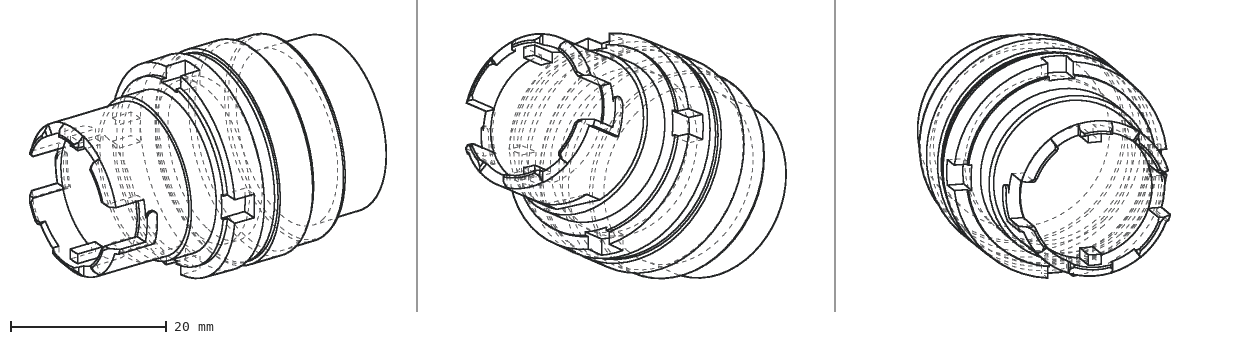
import cadquery as cq
import math

TOOTH_DEPTH = 1.2
FLOOR_Y = 5.05
BARREL_END_Y = 12.03
COLLAR_END_Y = 15.85
FLANGE_FRONT_Y = 16.5
FLANGE_BACK_Y = 20.95
BAND_FRONT_Y = 22.87
BAND_STEP_Y = 23.4
BAND_BACK_Y = 28.4
RING_FRONT_Y = 28.95
RING_BACK_Y = 33.95
LENGTH = 41.9

BORE_R = 8.83
TIP_R = 9.15
BARREL_FRONT_R = 10.27
BARREL_BACK_R = 10.31
COLLAR_R = 21.85 / 2
SHOULDER_R = 12.65
FLANGE_R = 28.8 / 2
FLANGE_FRONT_R = 14.32
BAND_R = 28.8 / 2
BAND_LIP_R = 27.8 / 2
RING_R = 27.6 / 2
RING_CHAMFER_LENGTH = 0.4
RING_CHAMFER_DEPTH = 0.2
CAP_BASE_R = 11.8
CAP_END_R = 11.73
CAP_FILLET = 0.8

SLOT_COUNT = 4
SLOT_WIDTH = 3.37
SLOT_END_Y = 19.45
SLOT_FLOOR_R = 12.2

NOTCH_HALF_HEIGHT = 2.97
NOTCH_END_Y = 5.4
TOOTH_CHAMFER = 0.45
TOP_TOOTH_HALF_WIDTH = 2.2
BOTTOM_TOOTH_LEFT_X = -3.54
UPPER_GAP_ANGLE = 54.5
LOWER_LEFT_GAP_ANGLE = 221.0
LOWER_RIGHT_GAP_ANGLE = 306.5
GAP_INNER_R = 5.0
GAP_OUTER_R = 16.0

PAD_R = 10.63
PAD_ARM_WIDTH = 1.6
PAD_ARM_ROUND_Z = 0.5
PAD_BOTTOM_Z = -3.75

KEY_WIDTH = 1.74
KEY_TIP_R = 7.46

RECESS_FRONT_Y = 9.2
RECESS_Z = -9.73

CLEARANCE = 1.0


def tube(outer_r, inner_r, start_y, end_y):
    """Ring about the Y axis between two stations."""
    return (
        cq.Workplane("XZ", origin=(0, start_y, 0))
        .circle(outer_r)
        .circle(inner_r)
        .extrude(start_y - end_y)
    )


def box(x_range, y_range, z_range):
    """Axis-aligned block given by its limits."""
    limits = (x_range, y_range, z_range)
    sizes = [high - low for low, high in limits]
    corner = cq.Vector(*[low for low, high in limits])
    return cq.Workplane(cq.Solid.makeBox(*sizes, pnt=corner))


def turned_body():
    """Stepped body of revolution, with the blind bore open at the front."""
    body = (
        cq.Workplane("XY")
        .moveTo(0, FLOOR_Y)
        .lineTo(BORE_R, FLOOR_Y)
        .lineTo(BORE_R, 0)
        .lineTo(BARREL_FRONT_R, 0)
        .lineTo(BARREL_BACK_R, BARREL_END_Y)
        .lineTo(COLLAR_R, BARREL_END_Y)
        .lineTo(COLLAR_R, COLLAR_END_Y)
        .lineTo(SHOULDER_R, COLLAR_END_Y)
        .lineTo(SHOULDER_R, FLANGE_FRONT_Y)
        .lineTo(FLANGE_FRONT_R, FLANGE_FRONT_Y)
        .lineTo(FLANGE_R, FLANGE_BACK_Y)
        .lineTo(COLLAR_R, FLANGE_BACK_Y)
        .lineTo(COLLAR_R, BAND_FRONT_Y)
        .lineTo(BAND_LIP_R, BAND_FRONT_Y)
        .lineTo(BAND_LIP_R, BAND_STEP_Y)
        .lineTo(BAND_R, BAND_STEP_Y)
        .lineTo(BAND_R, BAND_BACK_Y)
        .lineTo(RING_R, RING_FRONT_Y)
        .lineTo(RING_R, RING_BACK_Y - RING_CHAMFER_LENGTH)
        .lineTo(RING_R - RING_CHAMFER_DEPTH, RING_BACK_Y)
        .lineTo(CAP_BASE_R, RING_BACK_Y)
        .lineTo(CAP_END_R, LENGTH)
        .lineTo(0, LENGTH)
        .close()
        .revolve(360, (0, 0, 0), (0, 1, 0))
    )
    return body.faces(">Y").edges().fillet(CAP_FILLET)


def bayonet_pads():
    """L-shaped raised pads, mirrored left and right, with a full-round upper end."""
    arm_back_y = NOTCH_END_Y + PAD_ARM_WIDTH
    outline = (
        cq.Workplane("YZ")
        .moveTo(0, PAD_BOTTOM_Z)
        .lineTo(arm_back_y, PAD_BOTTOM_Z)
        .lineTo(arm_back_y, PAD_ARM_ROUND_Z)
        .threePointArc(
            (NOTCH_END_Y + PAD_ARM_WIDTH / 2, PAD_ARM_ROUND_Z + PAD_ARM_WIDTH / 2),
            (NOTCH_END_Y, PAD_ARM_ROUND_Z),
        )
        .lineTo(NOTCH_END_Y, -NOTCH_HALF_HEIGHT)
        .lineTo(0, -NOTCH_HALF_HEIGHT)
        .close()
        .extrude(PAD_R, both=True)
    )
    wall_middle_r = (BORE_R + BARREL_FRONT_R) / 2
    return outline.intersect(tube(PAD_R, wall_middle_r, 0, arm_back_y))


def crown_bevel():
    """Cutter that leaves a 45 degree cone around the front of the crown."""
    bevel_length = PAD_R + CLEARANCE - TIP_R
    return (
        cq.Workplane("XY")
        .moveTo(TIP_R, 0)
        .lineTo(TIP_R + bevel_length, bevel_length)
        .lineTo(TIP_R + bevel_length, 0)
        .close()
        .revolve(360, (0, 0, 0), (0, 1, 0))
    )


def chamfered_opening(points, end_y):
    """Cutter from the crown tip to end_y, flared at the tip to chamfer the tooth corners."""
    straight = cq.Workplane("XZ").polyline(points).close().extrude(-end_y)
    flare = (
        cq.Workplane("XZ", origin=(0, TOOTH_CHAMFER, 0))
        .polyline(points)
        .close()
        .extrude(TOOTH_CHAMFER, taper=-45)
    )
    return straight.union(flare)


def gap_outline(straight_x, angle):
    """Gap between a vertical tooth side at straight_x and a radial side at angle."""
    direction_x = math.cos(math.radians(angle))
    direction_z = math.sin(math.radians(angle))
    inner_z = GAP_INNER_R * direction_z
    outer_z = GAP_OUTER_R * direction_z
    return [
        (straight_x, inner_z),
        (straight_x, outer_z),
        (GAP_OUTER_R * direction_x, outer_z),
        (GAP_INNER_R * direction_x, inner_z),
    ]


def cut_crown(body):
    """Open the two side notches and the four gaps between the teeth."""
    notch = [
        (-GAP_OUTER_R, -NOTCH_HALF_HEIGHT),
        (GAP_OUTER_R, -NOTCH_HALF_HEIGHT),
        (GAP_OUTER_R, NOTCH_HALF_HEIGHT),
        (-GAP_OUTER_R, NOTCH_HALF_HEIGHT),
    ]
    floor_disc = tube(BORE_R, 0, FLOOR_Y, NOTCH_END_Y + CLEARANCE)
    body = body.cut(chamfered_opening(notch, NOTCH_END_Y).cut(floor_disc))
    gaps = (
        (TOP_TOOTH_HALF_WIDTH, UPPER_GAP_ANGLE),
        (-TOP_TOOTH_HALF_WIDTH, 180 - UPPER_GAP_ANGLE),
        (BOTTOM_TOOTH_LEFT_X, LOWER_LEFT_GAP_ANGLE),
        (TOP_TOOTH_HALF_WIDTH, LOWER_RIGHT_GAP_ANGLE),
    )
    for straight_x, angle in gaps:
        body = body.cut(chamfered_opening(gap_outline(straight_x, angle), TOOTH_DEPTH))
    return body


def flange_slots():
    """Cutters for the slots across the flange rim, with a round floor."""
    half_width = SLOT_WIDTH / 2
    reach = FLANGE_R + CLEARANCE
    slot = box((-half_width, half_width), (COLLAR_END_Y, SLOT_END_Y), (0, reach))
    slot = slot.cut(tube(SLOT_FLOOR_R, 0, COLLAR_END_Y, SLOT_END_Y))
    pitch = 360 / SLOT_COUNT
    return [slot.rotate((0, 0, 0), (0, 1, 0), index * pitch) for index in range(SLOT_COUNT)]


def bore_keys():
    """Two opposite keys along the bore wall, standing on the bore floor."""
    half_width = KEY_WIDTH / 2
    wall_middle_r = (BORE_R + TIP_R) / 2
    bar = box((-half_width, half_width), (TOOTH_DEPTH, FLOOR_Y), (-wall_middle_r, wall_middle_r))
    return bar.cut(tube(KEY_TIP_R, 0, TOOTH_DEPTH, FLOOR_Y))


def barrel_recess():
    """Cutter for the flat under the barrel just ahead of the collar."""
    return box(
        (-BARREL_BACK_R, BARREL_BACK_R),
        (RECESS_FRONT_Y, BARREL_END_Y),
        (-BARREL_BACK_R - CLEARANCE, RECESS_Z),
    )


body = turned_body().union(bayonet_pads()).cut(crown_bevel())
body = cut_crown(body)
body = body.union(bore_keys())
for slot_cutter in flange_slots():
    body = body.cut(slot_cutter)
result = body.cut(barrel_recess())